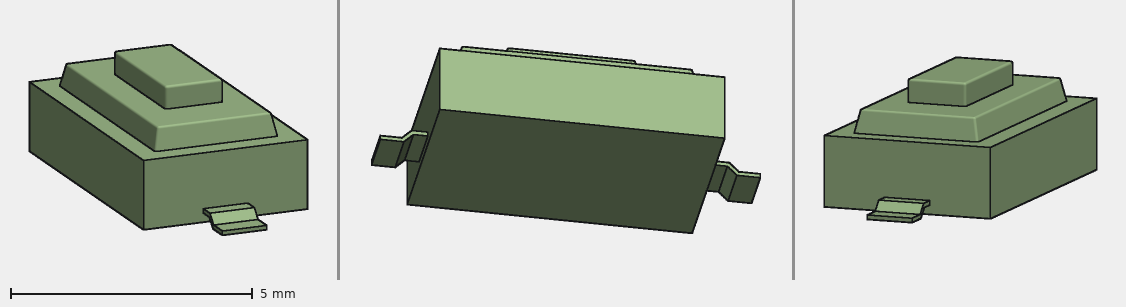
import cadquery as cq
import math

body_length = 6.0
body_width = 3.7
body_height = 1.5

cover_length = 5.06
cover_width = 2.77
cover_height = 0.5
cover_draft = 12.0

button_length = 2.7
button_width = 1.3
button_height = 0.5

edge_radius = 0.06

overall_length = 8.0
lead_width = 1.0
lead_thickness = 0.1
lead_rise = 0.2
foot_length = 0.5
bend_angle = 45.0


def make_body():
    return cq.Workplane("XY").box(body_length, body_width, body_height, centered=(True, True, False))


def make_cover():
    cover = (
        cq.Workplane("XY")
        .workplane(offset=body_height)
        .rect(cover_length, cover_width)
        .extrude(cover_height, taper=cover_draft)
    )
    return cover.edges("not(<Z)").fillet(edge_radius)


def make_button():
    button = (
        cq.Workplane("XY")
        .workplane(offset=body_height + cover_height)
        .rect(button_length, button_width)
        .extrude(button_height)
    )
    return button.edges("not(<Z)").fillet(edge_radius)


def make_lead():
    """Right-hand lead: a flat foot, a sloping bend and a shelf meeting the housing."""
    tip = overall_length / 2
    root = body_length / 2
    heel = tip - foot_length
    shoulder = heel - lead_rise / math.tan(math.radians(bend_angle))
    miter = lead_thickness * math.tan(math.radians(bend_angle / 2))
    shelf_top = lead_rise + lead_thickness
    profile = [
        (tip, 0),
        (heel, 0),
        (shoulder, lead_rise),
        (root, lead_rise),
        (root, shelf_top),
        (shoulder + miter, shelf_top),
        (heel + miter, lead_thickness),
        (tip, lead_thickness),
    ]
    return cq.Workplane("XZ").polyline(profile).close().extrude(lead_width / 2, both=True)


right_lead = make_lead()
left_lead = right_lead.mirror("YZ")

result = make_body().union(make_cover()).union(make_button()).union(right_lead).union(left_lead)